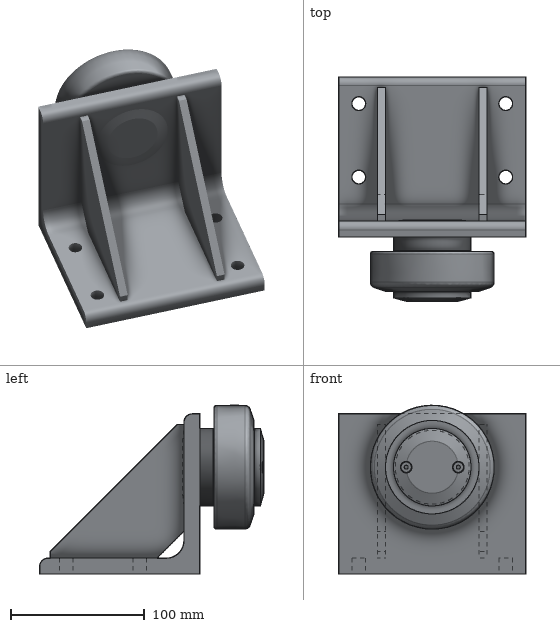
import cadquery as cq
import math

BRACKET_WIDTH = 140.0
LEG_LENGTH = 120.0
LEG_THICKNESS = 12.0
ROOT_RADIUS = 13.0
TOE_RADIUS = ROOT_RADIUS / 2

MOUNT_HOLE_DIAMETER = 10.11
MOUNT_HOLE_SPACING_X = 110.0
MOUNT_HOLE_SPACING_Y = 55.0
MOUNT_HOLE_TOE_DISTANCE = 20.0

GUSSET_THICKNESS = 6.0
GUSSET_SPACING = 76.0
GUSSET_LEG = 100.0
GUSSET_NOSE = 5.0
GUSSET_ROOT_CUT = 20.0

AXIS_HEIGHT = 80.0
HUB_DIAMETER = 58.0
HUB_FRONT = 48.0
NECK_DIAMETER = 55.3
NECK_GAP = 0.5
CAP_FACE_DIAMETER = 39.0
CAP_CONE_HEIGHT = 2.7

ROLLER_DIAMETER = 92.8
ROLLER_WIDTH = 30.0
ROLLER_BACK = 10.5
ROLLER_FRONT = ROLLER_BACK + ROLLER_WIDTH
ROLLER_FACE_DIAMETER = 70.0
ROLLER_CROWN_RADIUS = 500.0
ROLLER_BACK_FILLET = 2.2
ROLLER_FRONT_FILLET = 4.3
ROLLER_CONE_HEIGHT = 3.8

BOSS_BASE_DIAMETER = 55.5
BOSS_HEIGHT = 1.0

PIN_SPACING = 39.0
PIN_RIM_DIAMETER = 8.6
PIN_FLOOR_DIAMETER = 7.8
PIN_RIM_DEPTH = 1.2
PIN_DEPTH = 1.5
PIN_CENTRE_DIAMETER = 3.0
PIN_CENTRE_DEPTH = 1.5


def make_bracket():
    profile = (
        cq.Workplane("YZ")
        .moveTo(0, 0)
        .lineTo(LEG_LENGTH, 0)
        .lineTo(LEG_LENGTH, LEG_THICKNESS - TOE_RADIUS)
        .radiusArc((LEG_LENGTH - TOE_RADIUS, LEG_THICKNESS), -TOE_RADIUS)
        .lineTo(LEG_THICKNESS + ROOT_RADIUS, LEG_THICKNESS)
        .radiusArc((LEG_THICKNESS, LEG_THICKNESS + ROOT_RADIUS), ROOT_RADIUS)
        .lineTo(LEG_THICKNESS, LEG_LENGTH - TOE_RADIUS)
        .radiusArc((LEG_THICKNESS - TOE_RADIUS, LEG_LENGTH), -TOE_RADIUS)
        .lineTo(0, LEG_LENGTH)
        .close()
    )
    return profile.extrude(BRACKET_WIDTH / 2, both=True)


def make_mount_holes():
    centre_y = LEG_LENGTH - MOUNT_HOLE_TOE_DISTANCE - MOUNT_HOLE_SPACING_Y / 2
    return (
        cq.Workplane("XY")
        .center(0, centre_y)
        .rarray(MOUNT_HOLE_SPACING_X, MOUNT_HOLE_SPACING_Y, 2, 2)
        .circle(MOUNT_HOLE_DIAMETER / 2)
        .extrude(LEG_THICKNESS)
    )


def make_gusset(centre_x):
    inner = LEG_THICKNESS
    outer = inner + GUSSET_LEG
    outline = [
        (inner + GUSSET_ROOT_CUT, inner),
        (outer, inner),
        (outer, inner + GUSSET_NOSE),
        (inner + GUSSET_NOSE, outer),
        (inner, outer),
        (inner, inner + GUSSET_ROOT_CUT),
    ]
    return (
        cq.Workplane("YZ", origin=(centre_x, 0, 0))
        .polyline(outline)
        .close()
        .extrude(GUSSET_THICKNESS / 2, both=True)
    )


def turned(profile):
    """Revolve a (radius, forward distance) profile and set it on the roller axis."""
    return (
        profile.close()
        .revolve(360, (0, 0, 0), (0, 1, 0))
        .rotate((0, 0, 0), (0, 0, 1), 180)
        .translate((0, 0, AXIS_HEIGHT))
    )


def make_hub():
    hub_radius = HUB_DIAMETER / 2
    neck_radius = NECK_DIAMETER / 2
    face_radius = CAP_FACE_DIAMETER / 2
    rear_face = -LEG_THICKNESS
    profile = cq.Workplane("XY").polyline([
        (0, rear_face - BOSS_HEIGHT),
        (face_radius, rear_face - BOSS_HEIGHT),
        (BOSS_BASE_DIAMETER / 2, rear_face),
        (BOSS_BASE_DIAMETER / 2, 0),
        (hub_radius, 0),
        (hub_radius, ROLLER_BACK - NECK_GAP),
        (neck_radius, ROLLER_BACK - NECK_GAP),
        (neck_radius, ROLLER_FRONT + NECK_GAP),
        (hub_radius, ROLLER_FRONT + NECK_GAP),
        (hub_radius, HUB_FRONT - CAP_CONE_HEIGHT),
        (face_radius, HUB_FRONT),
        (0, HUB_FRONT),
    ])
    return turned(profile)


def make_roller():
    roller_radius = ROLLER_DIAMETER / 2
    cone_start = ROLLER_FRONT - ROLLER_CONE_HEIGHT
    half_length = (cone_start - ROLLER_BACK) / 2
    crown_drop = ROLLER_CROWN_RADIUS - math.sqrt(ROLLER_CROWN_RADIUS**2 - half_length**2)
    edge_radius = roller_radius - crown_drop
    profile = (
        cq.Workplane("XY")
        .moveTo(0, ROLLER_BACK)
        .lineTo(edge_radius, ROLLER_BACK)
        .threePointArc((roller_radius, ROLLER_BACK + half_length), (edge_radius, cone_start))
        .lineTo(ROLLER_FACE_DIAMETER / 2, ROLLER_FRONT)
        .lineTo(0, ROLLER_FRONT)
    )
    return (
        turned(profile)
        .edges(cq.selectors.NearestToPointSelector((edge_radius, -ROLLER_BACK, AXIS_HEIGHT)))
        .fillet(ROLLER_BACK_FILLET)
        .edges(cq.selectors.NearestToPointSelector((edge_radius, -cone_start, AXIS_HEIGHT)))
        .fillet(ROLLER_FRONT_FILLET)
    )


def make_pin_recess(centre_x):
    profile = cq.Workplane("XY").polyline([
        (0, HUB_FRONT),
        (PIN_RIM_DIAMETER / 2, HUB_FRONT),
        (PIN_RIM_DIAMETER / 2, HUB_FRONT - PIN_RIM_DEPTH),
        (PIN_FLOOR_DIAMETER / 2, HUB_FRONT - PIN_DEPTH),
        (PIN_CENTRE_DIAMETER / 2, HUB_FRONT - PIN_DEPTH),
        (PIN_CENTRE_DIAMETER / 2, HUB_FRONT - PIN_DEPTH - PIN_CENTRE_DEPTH),
        (0, HUB_FRONT - PIN_DEPTH - PIN_CENTRE_DEPTH),
    ])
    return turned(profile).translate((centre_x, 0, 0))


result = make_bracket().cut(make_mount_holes())
for side in (-1, 1):
    result = result.union(make_gusset(side * GUSSET_SPACING / 2))
result = result.union(make_hub()).union(make_roller())
for side in (-1, 1):
    result = result.cut(make_pin_recess(side * PIN_SPACING / 2))